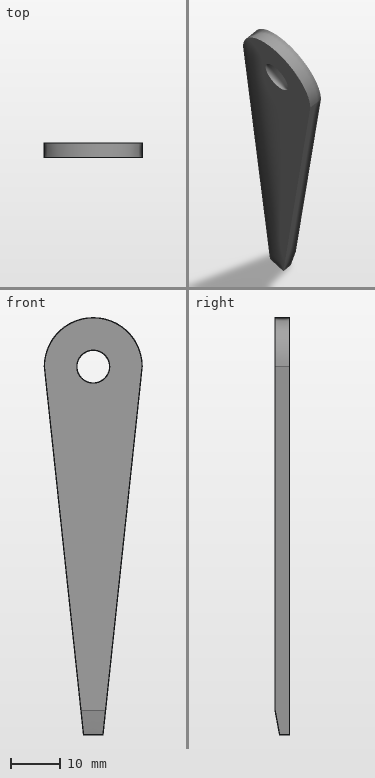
import cadquery as cq

length = 85.0
head_width = 20.0
thickness = 3.0
hole_diameter = 6.6

tip_width = 4.0
tip_thickness = 2.0
bevel_height = 5.0

head_radius = head_width / 2
head_center_z = length - head_radius


def make_blade():
    """Tapered plate with a semicircular head, front face at Y = 0."""
    return (
        cq.Workplane("XZ")
        .moveTo(-tip_width / 2, 0)
        .lineTo(tip_width / 2, 0)
        .lineTo(head_radius, head_center_z)
        .threePointArc((0, length), (-head_radius, head_center_z))
        .close()
        .extrude(-thickness)
    )


def make_hole():
    """Through hole concentric with the rounded head."""
    return (
        cq.Workplane("XZ")
        .center(0, head_center_z)
        .circle(hole_diameter / 2)
        .extrude(-thickness)
    )


def make_tip_bevel():
    """Wedge that thins the front face towards the tip."""
    return (
        cq.Workplane("YZ")
        .polyline([(0, 0), (thickness - tip_thickness, 0), (0, bevel_height)])
        .close()
        .extrude(head_radius, both=True)
    )


result = make_blade().cut(make_hole()).cut(make_tip_bevel())